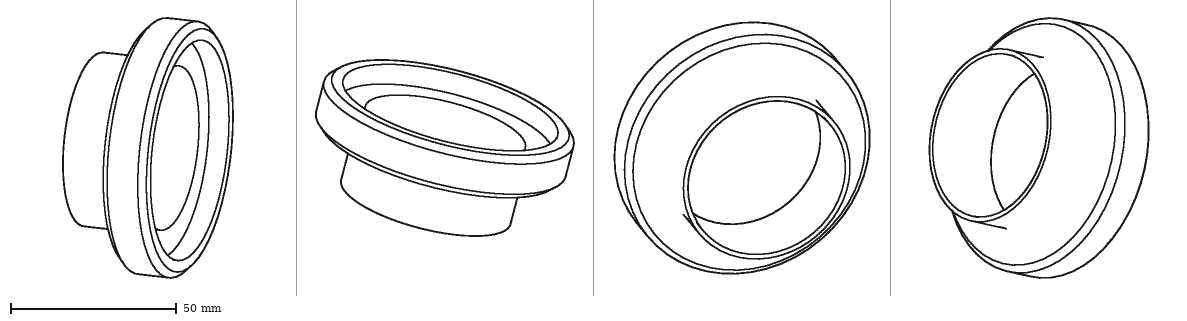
import cadquery as cq
import math

total_length = 31.0
flange_diameter = 78.0
flange_thickness = 14.0
flange_chamfer = 2.0
tube_diameter = 53.0
bore_diameter = 50.0
root_fillet = 2.0
recess_diameter = 67.0
recess_depth = 6.5

flange_start = total_length - flange_thickness
flange_radius = flange_diameter / 2
tube_radius = tube_diameter / 2
bore_radius = bore_diameter / 2
recess_radius = recess_diameter / 2
recess_floor = total_length - recess_depth

arc_inset = root_fillet * (1 - math.sqrt(0.5))
root_arc_middle = (flange_start - arc_inset, tube_radius + arc_inset)

half_section = (
    cq.Workplane("XY")
    .moveTo(0, bore_radius)
    .lineTo(0, tube_radius)
    .lineTo(flange_start - root_fillet, tube_radius)
    .threePointArc(root_arc_middle, (flange_start, tube_radius + root_fillet))
    .lineTo(flange_start, flange_radius - flange_chamfer)
    .lineTo(flange_start + flange_chamfer, flange_radius)
    .lineTo(total_length - flange_chamfer, flange_radius)
    .lineTo(total_length, flange_radius - flange_chamfer)
    .lineTo(total_length, recess_radius)
    .lineTo(recess_floor, recess_radius)
    .lineTo(recess_floor, bore_radius)
    .close()
)

result = half_section.revolve(360, (0, 0, 0), (1, 0, 0))